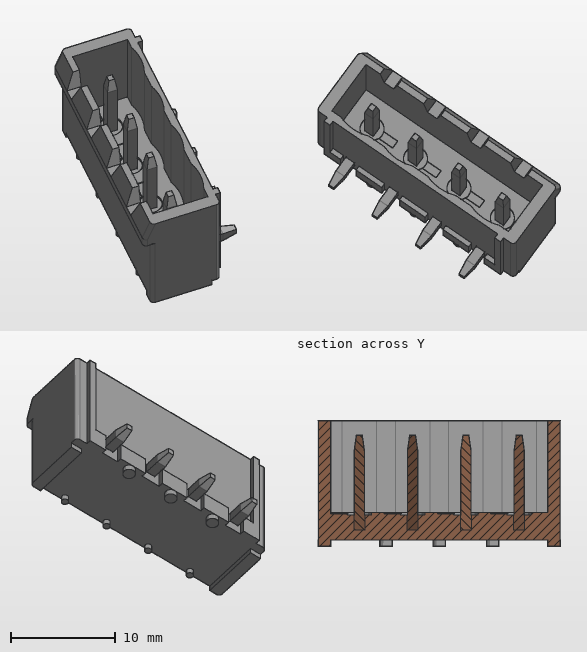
import cadquery as cq


POLES = 4
PITCH = 5.09
PIN_X = [(i - (POLES - 1) / 2) * PITCH for i in range(POLES)]
MID_X = [x + PITCH / 2 for x in PIN_X[:-1]]

WIDTH = 23.12
LEFT = -WIDTH / 2
HEIGHT = 12.0
BACK_Y = 7.1
CORNER_RADIUS = 0.4

LIP_DEPTH = 0.79
LIP_BOTTOM = 9.02
LIP_SLOPE_START = 9.99

CAVITY_HALF_WIDTH = 10.33
CAVITY_FRONT = 0.67
CAVITY_BACK = 6.31
FLOOR_Z = 3.24
SCALLOP_HALF_WIDTH = 1.65
SCALLOP_RISE = 0.3

POCKET_DIAMETER = 2.3
POCKET_DEPTH = 0.23
SLOT_WIDTH = 0.83
SLOT_REACH = CAVITY_HALF_WIDTH + PIN_X[0]
SLOT_DEPTH = 0.12

NOTCH_TOP_WIDTH = 2.0
NOTCH_BOTTOM_WIDTH = 1.1
NOTCH_OFFSET = 0.05

FOOT_HEIGHT = 0.6
FOOT_BACK = 6.25
FRONT_POST_DIAMETER = 0.7
REAR_POST_DIAMETER = 1.2

PIN_WIDTH = 1.0
PIN_THICKNESS = 1.05
TIP_SIZE = 0.58
TIP_LENGTH = 1.48
PIN_Y = 3.5
PIN_TOP = 10.61
TAIL_Z = 2.1
TAIL_END = 10.22

PAD_BACK = 7.58
PAD_TOP = TAIL_Z + PIN_THICKNESS / 2
MIDDLE_PAD_WIDTH = 3.0
END_PAD_WIDTH = 1.92
CORNER_RIB_WIDTH = 0.7


def block(x0, x1, y0, y1, z0, z1):
    """Box between two opposite corners."""
    return cq.Workplane("XY").box(x1 - x0, y1 - y0, z1 - z0, centered=False).translate((x0, y0, z0))


def shell():
    """Outer block with its front lip and rounded upright corners."""
    profile = [
        (0, 0),
        (BACK_Y, 0),
        (BACK_Y, HEIGHT),
        (0, HEIGHT),
        (-LIP_DEPTH, LIP_SLOPE_START),
        (-LIP_DEPTH, LIP_BOTTOM),
        (0, LIP_BOTTOM),
    ]
    body = cq.Workplane("YZ").polyline(profile).close().extrude(WIDTH).translate((LEFT, 0, 0))
    upright_corners = body.edges("(not #Z) and (not |X)")
    return upright_corners.fillet(CORNER_RADIUS)


def cavity():
    """Plug opening, with a shallow arc in its back wall behind each pin."""
    outline = (
        cq.Workplane("XY", origin=(0, 0, FLOOR_Z))
        .moveTo(CAVITY_HALF_WIDTH, CAVITY_FRONT)
        .lineTo(-CAVITY_HALF_WIDTH, CAVITY_FRONT)
        .lineTo(-CAVITY_HALF_WIDTH, CAVITY_BACK)
    )
    for x in PIN_X:
        outline = outline.lineTo(x - SCALLOP_HALF_WIDTH, CAVITY_BACK).threePointArc(
            (x, CAVITY_BACK + SCALLOP_RISE), (x + SCALLOP_HALF_WIDTH, CAVITY_BACK)
        )
    return outline.lineTo(CAVITY_HALF_WIDTH, CAVITY_BACK).close().extrude(HEIGHT - FLOOR_Z)


def floor_recess(x):
    """Round pocket around a pin and the shallower slot on its -X side."""
    pocket = (
        cq.Workplane("XY", origin=(x, PIN_Y, FLOOR_Z - POCKET_DEPTH))
        .circle(POCKET_DIAMETER / 2)
        .extrude(POCKET_DEPTH)
    )
    half_slot = SLOT_WIDTH / 2
    slot = block(x - SLOT_REACH, x, PIN_Y - half_slot, PIN_Y + half_slot, FLOOR_Z - SLOT_DEPTH, FLOOR_Z)
    return pocket.union(slot)


def front_notch(x):
    """Tapered notch through the front wall, wider at the top."""
    half_top = NOTCH_TOP_WIDTH / 2
    half_bottom = NOTCH_BOTTOM_WIDTH / 2
    outline = [
        (-half_bottom, LIP_SLOPE_START),
        (half_bottom, LIP_SLOPE_START),
        (half_top, HEIGHT),
        (-half_top, HEIGHT),
    ]
    return (
        cq.Workplane("XZ", origin=(x + NOTCH_OFFSET, CAVITY_FRONT, 0))
        .polyline(outline)
        .close()
        .extrude(CAVITY_FRONT + LIP_DEPTH)
    )


def underside_relief():
    """Clearance that leaves a foot under each side wall."""
    between_feet = block(-CAVITY_HALF_WIDTH, CAVITY_HALF_WIDTH, 0, BACK_Y, 0, FOOT_HEIGHT)
    behind_feet = block(LEFT, LEFT + WIDTH, FOOT_BACK, BACK_Y, 0, FOOT_HEIGHT)
    return between_feet.union(behind_feet)


def post(x, y, diameter):
    """Round post standing below the underside."""
    return cq.Workplane("XY", origin=(x, y, 0)).circle(diameter / 2).extrude(FOOT_HEIGHT)


def standoff_pads():
    """Low pads between the pin tails, and a full-height rib at each end."""
    half_pad = MIDDLE_PAD_WIDTH / 2
    pads = [block(x - half_pad, x + half_pad, CAVITY_BACK, PAD_BACK, FOOT_HEIGHT, PAD_TOP) for x in MID_X]
    end = CAVITY_HALF_WIDTH
    for width, top in ((END_PAD_WIDTH, PAD_TOP), (CORNER_RIB_WIDTH, HEIGHT)):
        pads.append(block(-end, width - end, CAVITY_BACK, PAD_BACK, FOOT_HEIGHT, top))
        pads.append(block(end - width, end, CAVITY_BACK, PAD_BACK, FOOT_HEIGHT, top))
    return pads


def pin_leg(plane, length):
    """Rectangular bar along the plane normal with a tapered tip; its heel squares off the bend."""
    heel = PIN_THICKNESS / 2
    bar_end = length - TIP_LENGTH
    bar = plane.workplane(offset=-heel).rect(PIN_WIDTH, PIN_THICKNESS).extrude(bar_end + heel)
    tip = (
        plane.workplane(offset=bar_end)
        .rect(PIN_WIDTH, PIN_THICKNESS)
        .workplane(offset=TIP_LENGTH)
        .rect(TIP_SIZE, TIP_SIZE)
        .loft(ruled=True)
    )
    return bar.union(tip)


def contact_pin(x):
    """Right-angle pin: one leg up into the cavity, one tail out of the back."""
    bend = (x, PIN_Y, TAIL_Z)
    upright = pin_leg(cq.Workplane("XY", origin=bend), PIN_TOP - TAIL_Z)
    tail = pin_leg(cq.Workplane("XZ", origin=bend).transformed(rotate=(180, 0, 0)), TAIL_END - PIN_Y)
    return upright.union(tail)


pins = [contact_pin(x) for x in PIN_X]

housing = shell().cut(cavity()).cut(underside_relief())
for pad in standoff_pads():
    housing = housing.union(pad)
for x in MID_X:
    housing = housing.union(post(x, PAD_BACK - REAR_POST_DIAMETER / 2, REAR_POST_DIAMETER))
for x, pin in zip(PIN_X, pins):
    housing = housing.union(post(x, FRONT_POST_DIAMETER / 2, FRONT_POST_DIAMETER))
    housing = housing.cut(floor_recess(x)).cut(front_notch(x)).cut(pin)

result = cq.Compound.makeCompound([housing.val(), *[pin.val() for pin in pins]])